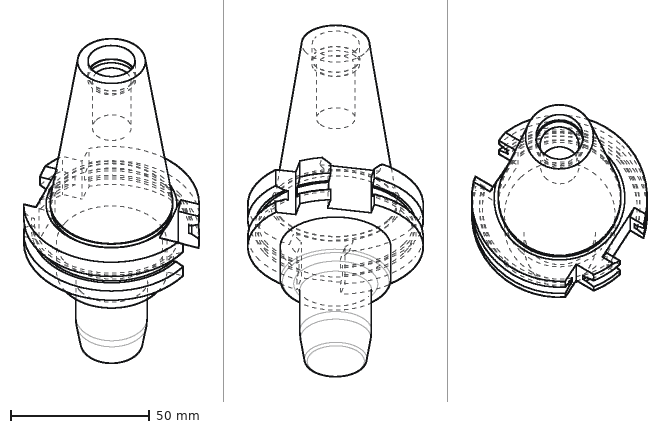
import cadquery as cq
import math

overall_length = 136.25

gauge_diameter = 44.45
taper_length = 68.25
taper_ratio = 7 / 24
gauge_height = overall_length - taper_length
taper_end_diameter = gauge_diameter - taper_length * taper_ratio

undercut_diameter = 43.85
undercut_rim_diameter = 47.3
undercut_lip_height = 0.4

flange_diameter = 63.5
gauge_to_flange_top = 0.75
gauge_to_flange_bottom = 19.05
gauge_to_groove = 11.1
flange_top = gauge_height - gauge_to_flange_top
flange_bottom = gauge_height - gauge_to_flange_bottom
groove_center = gauge_height - gauge_to_groove
groove_opening = 7.0
groove_floor_width = 3.86
groove_root_diameter = 56.0
groove_flank_angle = 30

slot_width = 16.1
slot_chamfer = 3.0
left_slot_floor = 25.0
right_slot_floor = 22.7

notch_x = 18.4
notch_y = 18.4

body_diameter = 40.0
shoulder_height = 34.5
shoulder_angle = 15
shoulder_edge_radius = 1.0
shoulder_root_radius = 3.0
nose_diameter = 26.0
nose_taper_height = 11.45
nose_taper_angle = 9
nose_blend_radius = 20.0
nose_end_radius = 1.0

pilot_diameter = 17.01
pilot_depth = 6.7
relief_diameter = 17.41
relief_depth = 8.5
core_diameter = 14.0
core_depth = 32.0
countersink_angle = 30
drill_point_angle = 118


def rise(run, angle):
    """Height gained over a radial run at an angle to the horizontal."""
    return run * math.tan(math.radians(angle))


def revolve_profile(points):
    """Turn a closed (radius, height) outline around the Z axis."""
    return cq.Workplane("XZ").polyline(points).close().revolve(360, (0, 0), (0, 1))


def round_edge(solid, height, radius):
    """Fillet the single circular edge centred on Z at the given height."""
    reach = 0.05
    selector = cq.selectors.BoxSelector((-reach, -reach, height - reach), (reach, reach, height + reach))
    return solid.edges(selector).fillet(radius)


def make_body():
    """Nose, shoulder and cylindrical body up to the flange."""
    body_radius = body_diameter / 2
    nose_radius = nose_diameter / 2
    nose_end = nose_radius - nose_taper_height * math.tan(math.radians(nose_taper_angle))
    shoulder_root = shoulder_height - rise(body_radius - nose_radius, shoulder_angle)
    body = revolve_profile([
        (0, 0),
        (nose_end, 0),
        (nose_radius, nose_taper_height),
        (nose_radius, shoulder_root),
        (body_radius, shoulder_height),
        (body_radius, flange_bottom),
        (0, flange_bottom),
    ])
    body = round_edge(body, shoulder_height, shoulder_edge_radius)
    body = round_edge(body, shoulder_root, shoulder_root_radius)
    body = round_edge(body, nose_taper_height, nose_blend_radius)
    return round_edge(body, 0, nose_end_radius)


def make_flange():
    """Flange ring with the gripper groove and the conical undercut in its top face."""
    outer = flange_diameter / 2
    root = groove_root_diameter / 2
    flank_height = (groove_opening - groove_floor_width) / 2
    flank_inner = outer - flank_height / math.tan(math.radians(groove_flank_angle))
    undercut_radius = undercut_diameter / 2
    undercut_rim = undercut_rim_diameter / 2
    undercut_bottom = flange_top - (undercut_rim - undercut_radius)
    return revolve_profile([
        (0, flange_bottom),
        (outer, flange_bottom),
        (outer, groove_center - groove_opening / 2),
        (flank_inner, groove_center - groove_floor_width / 2),
        (root, groove_center - groove_floor_width / 2),
        (root, groove_center + groove_floor_width / 2),
        (flank_inner, groove_center + groove_floor_width / 2),
        (outer, groove_center + groove_opening / 2),
        (outer, flange_top),
        (undercut_rim, flange_top),
        (undercut_radius, undercut_bottom),
        (0, undercut_bottom),
    ])


def make_shank():
    """Neck of the undercut, short lip at the gauge diameter, and the taper."""
    neck = undercut_diameter / 2
    gauge = gauge_diameter / 2
    lip_bottom = gauge_height - undercut_lip_height
    return revolve_profile([
        (0, flange_bottom),
        (neck, flange_bottom),
        (neck, lip_bottom),
        (gauge, lip_bottom),
        (gauge, gauge_height),
        (taper_end_diameter / 2, overall_length),
        (0, overall_length),
    ])


def make_slot(floor, side):
    """Drive slot with chamfered mouth, cut from the floor outward; side is -1 or +1 along X."""
    half = slot_width / 2
    outline = [
        (-half, flange_bottom),
        (half, flange_bottom),
        (half, flange_top - slot_chamfer),
        (half + slot_chamfer, flange_top),
        (-half - slot_chamfer, flange_top),
        (-half, flange_top - slot_chamfer),
    ]
    slot = cq.Workplane("YZ").polyline(outline).close().extrude(side * flange_diameter / 2)
    return slot.translate((side * floor, 0, 0))


def make_notch():
    """Square corner block removed through the full flange height."""
    size = flange_diameter / 2
    flange_height = flange_top - flange_bottom
    block = cq.Workplane("XY").box(size, size, flange_height, centered=False)
    return block.translate((-notch_x - size, notch_y, flange_bottom))


def make_stud_hole():
    """Pilot bore, relief, countersink and core drilling from the small end."""
    pilot = pilot_diameter / 2
    relief = relief_diameter / 2
    core = core_diameter / 2
    core_top = overall_length - relief_depth - rise(relief - core, countersink_angle)
    core_bottom = overall_length - core_depth
    return revolve_profile([
        (0, overall_length),
        (pilot, overall_length),
        (pilot, overall_length - pilot_depth),
        (relief, overall_length - pilot_depth),
        (relief, overall_length - relief_depth),
        (core, core_top),
        (core, core_bottom),
        (0, core_bottom - rise(core, 90 - drill_point_angle / 2)),
    ])


flange = make_flange()
flange = flange.cut(make_slot(left_slot_floor, -1))
flange = flange.cut(make_slot(right_slot_floor, 1))
flange = flange.cut(make_notch())

result = make_body().union(flange).union(make_shank()).cut(make_stud_hole())